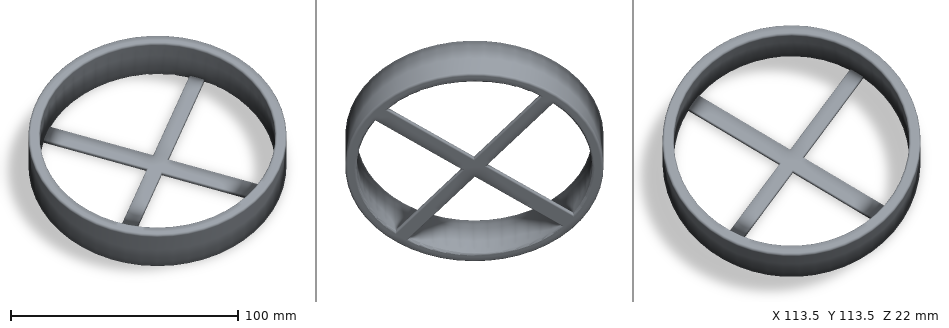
import cadquery as cq

outer_diameter = 113.5
inner_diameter = 103.5
height = 22.0
ring_fillet = 1.0

bar_x_width = 8.5
bar_y_width = 7.0
bar_thickness = 2.0
bar_fillet = 0.7
bar_length = (outer_diameter + inner_diameter) / 2


def make_ring():
    """Plain ring with all four circular edges rounded."""
    ring = cq.Workplane("XY").circle(outer_diameter / 2).circle(inner_diameter / 2).extrude(height)
    return ring.faces("<Z or >Z").edges().fillet(ring_fillet)


def make_cross():
    """Two crossed bars with rounded long edges."""
    bar_x = cq.Workplane("XY").box(bar_length, bar_x_width, bar_thickness, centered=(True, True, False))
    bar_y = cq.Workplane("XY").box(bar_y_width, bar_length, bar_thickness, centered=(True, True, False))
    bar_x = bar_x.edges("|X").fillet(bar_fillet)
    bar_y = bar_y.edges("|Y").fillet(bar_fillet)
    return bar_x.union(bar_y)


result = make_ring().union(make_cross())